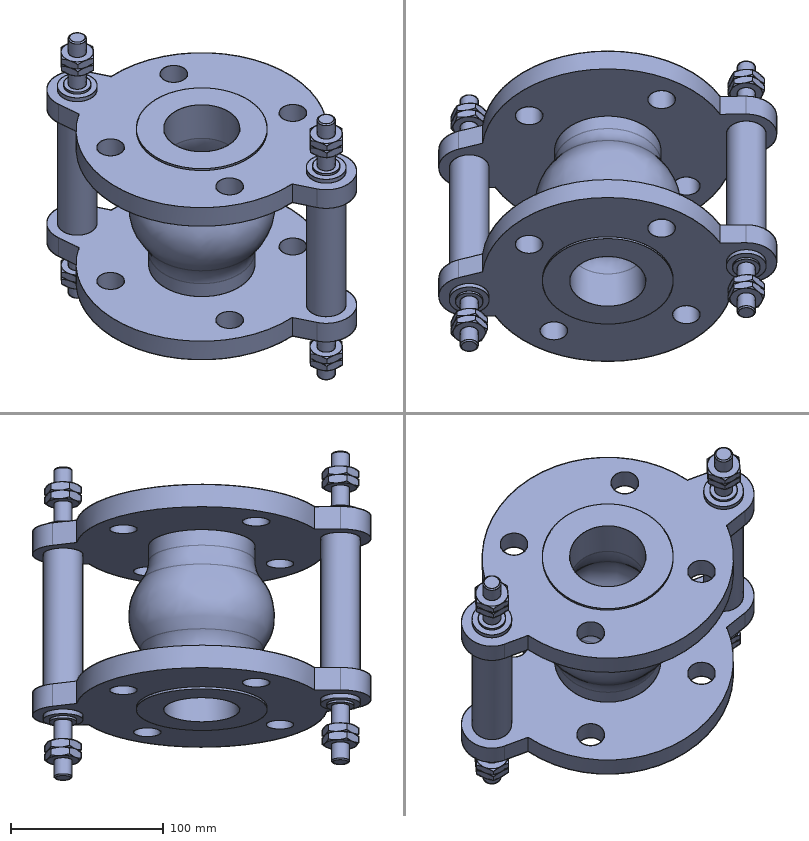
import cadquery as cq
import math

flange_diameter = 165.0
flange_outer_z = 63.5
flange_thickness = 15.5
flange_inner_z = flange_outer_z - flange_thickness
raised_face_diameter = 86.0
raised_face_height = 1.5
bolt_hole_diameter = 18.0
bolt_circle_diameter = 125.0
bolt_hole_count = 4
first_bolt_angle = 180 / bolt_hole_count

overall_length = 225.0
lug_radius = 20.0
lug_taper = math.radians(10)
rod_x = overall_length / 2 - lug_radius

bore_diameter = 50.0
neck_diameter = 70.0
bulge_diameter = 95.8
neck_end_z = 37.1
bulge_arc_radius = 36.0

rod_diameter = 12.0
rod_length = 213.5
rod_chamfer = 1.0
spacer_diameter = 26.0
washer_thickness = 3.2
collar_diameter = 18.0
collar_height = 1.5

nuts_per_end = 2
nut_width = 21.2
nut_thickness = 5.8
nut_start_z = 83.0
nut_chamfer_angle = math.radians(30)


def cylinder(diameter, length):
    """Cylinder on the Z axis, centred on the mid-plane."""
    return cq.Workplane("XY").cylinder(length, diameter / 2)


def make_flange():
    """Upper flange: disc, two tapered lugs, raised face and bolt holes."""
    tangent_x = rod_x + lug_radius * math.sin(lug_taper)
    tangent_y = lug_radius * math.cos(lug_taper)
    root_x = bolt_circle_diameter / 2
    root_y = tangent_y + (tangent_x - root_x) * math.tan(lug_taper)
    plane = cq.Workplane("XY").workplane(offset=flange_inner_z)
    lugs = (
        plane.moveTo(-root_x, root_y)
        .lineTo(-tangent_x, tangent_y)
        .threePointArc((-overall_length / 2, 0), (-tangent_x, -tangent_y))
        .lineTo(-root_x, -root_y)
        .lineTo(root_x, -root_y)
        .lineTo(tangent_x, -tangent_y)
        .threePointArc((overall_length / 2, 0), (tangent_x, tangent_y))
        .lineTo(root_x, root_y)
        .close()
        .extrude(flange_thickness)
    )
    disc = plane.circle(flange_diameter / 2).extrude(flange_thickness)
    raised_face = plane.circle(raised_face_diameter / 2).extrude(flange_thickness + raised_face_height)
    bolt_holes = (
        plane.polarArray(bolt_circle_diameter / 2, first_bolt_angle, 360, bolt_hole_count)
        .circle(bolt_hole_diameter / 2)
        .extrude(flange_thickness)
    )
    return disc.union(lugs).union(raised_face).cut(bolt_holes)


def revolve_bellows(neck_radius, bulge_radius, arc_radius):
    """Solid of revolution: straight necks, tangent fillet arcs and a central bulge arc."""
    rise = bulge_radius - neck_radius
    centre_distance = (neck_end_z ** 2 + rise ** 2) / (2 * rise)
    neck_arc_radius = centre_distance - arc_radius
    sweep = math.asin(neck_end_z / centre_distance)
    joint_r = bulge_radius - arc_radius * (1 - math.cos(sweep))
    joint_z = arc_radius * math.sin(sweep)
    neck_mid_r = neck_radius + neck_arc_radius * (1 - math.cos(sweep / 2))
    neck_mid_z = neck_end_z - neck_arc_radius * math.sin(sweep / 2)
    end_z = flange_outer_z + raised_face_height
    return (
        cq.Workplane("XZ")
        .moveTo(0, -end_z)
        .lineTo(neck_radius, -end_z)
        .lineTo(neck_radius, -neck_end_z)
        .threePointArc((neck_mid_r, -neck_mid_z), (joint_r, -joint_z))
        .threePointArc((bulge_radius, 0), (joint_r, joint_z))
        .threePointArc((neck_mid_r, neck_mid_z), (neck_radius, neck_end_z))
        .lineTo(neck_radius, end_z)
        .lineTo(0, end_z)
        .close()
        .revolve(360, (0, 0, 0), (0, 1, 0))
    )


def make_nut():
    """Hexagon nut with both corner rings chamfered by cones, corners along X."""
    corner_diameter = nut_width / math.cos(math.pi / 6)
    face_radius = nut_width / 2
    chamfer_height = (corner_diameter / 2 - face_radius) * math.tan(nut_chamfer_angle)
    hexagon = cq.Workplane("XY").polygon(6, corner_diameter).extrude(nut_thickness)
    envelope = (
        cq.Workplane("XZ")
        .moveTo(0, 0)
        .lineTo(face_radius, 0)
        .lineTo(corner_diameter / 2, chamfer_height)
        .lineTo(corner_diameter / 2, nut_thickness - chamfer_height)
        .lineTo(face_radius, nut_thickness)
        .lineTo(0, nut_thickness)
        .close()
        .revolve(360, (0, 0, 0), (0, 1, 0))
    )
    return hexagon.intersect(envelope)


def make_tie_rod():
    """Rod with spacer tube, end washers, collars and lock nuts at each end."""
    washer_z = flange_outer_z + washer_thickness
    tie_rod = cylinder(rod_diameter, rod_length).faces("|Z").chamfer(rod_chamfer)
    tie_rod = tie_rod.union(cylinder(spacer_diameter, 2 * washer_z))
    tie_rod = tie_rod.union(cylinder(collar_diameter, 2 * (washer_z + collar_height)))
    nut = make_nut()
    for index in range(nuts_per_end):
        upper_nut = nut.translate((0, 0, nut_start_z + index * nut_thickness))
        tie_rod = tie_rod.union(upper_nut).union(upper_nut.mirror("XY"))
    return tie_rod


flange = make_flange()
wall = (neck_diameter - bore_diameter) / 2
bellows = revolve_bellows(neck_diameter / 2, bulge_diameter / 2, bulge_arc_radius)
passage = revolve_bellows(bore_diameter / 2, bulge_diameter / 2 - wall, bulge_arc_radius - wall)

result = bellows.union(flange).union(flange.mirror("XY")).cut(passage)
tie_rod = make_tie_rod()
for side in (-1, 1):
    result = result.union(tie_rod.translate((side * rod_x, 0, 0)))